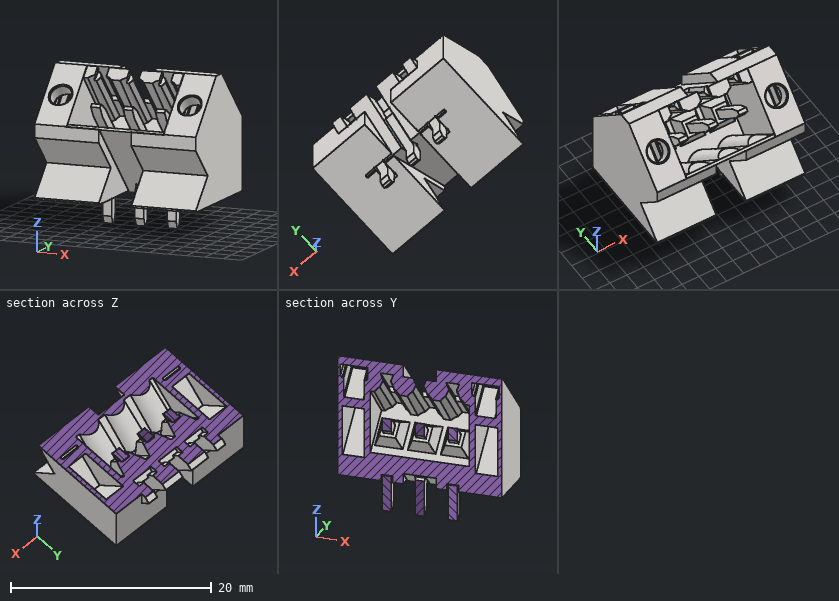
import cadquery as cq
import math

ROOT2 = math.sqrt(2)

LENGTH = 17.5
DEPTH = 12.11
TOP_Z = 12.98
RIDGE_FRONT_Y = 5.28
RIDGE_BACK_Y = 6.75
NOSE_BOTTOM_Z = 6.3
NOTCH_Y = 3.1
NOTCH_Z = NOSE_BOTTOM_Z - NOTCH_Y
FOOT_EDGE_Z = 0.2
FLANGE_LENGTH = 7.0
NOSE_TOP_Z = TOP_Z - RIDGE_FRONT_Y
BACK_TOP_Z = TOP_Z + RIDGE_BACK_Y - DEPTH

CORE_LENGTH = 10.5
FACE_U = NOSE_TOP_Z / ROOT2
CORE_BOTTOM_V = NOSE_TOP_Z / ROOT2
CORE_TOP_V = (TOP_Z + RIDGE_FRONT_Y) / ROOT2
CORE_DEPTH = 11.13
CORE_BACK_U = FACE_U - CORE_DEPTH
CORE_INSET = 0.09
CORE_FRONT_U = FACE_U - CORE_INSET
CORE_LEFT = (LENGTH - CORE_LENGTH) / 2
CORE_RIGHT = CORE_LEFT + CORE_LENGTH
FLANGE_TOP_V = (TOP_Z + RIDGE_BACK_Y) / ROOT2

CAVITY_FLOOR_U = -2.55
CAVITY_DEPTH = CORE_FRONT_U - CAVITY_FLOOR_U
CAVITY_BOTTOM_V = 5.78
CAVITY_TOP_V = 11.48
CAVITY_TOP_DRAFT = 0.14
POLE_PITCH = 3.5
POLES = [LENGTH / 2 + k * POLE_PITCH for k in (-1, 0, 1)]
BARREL_HALF_WIDTH = 1.26
RIDGE_DRAFT = 0.09
GROOVE_RADIUS = 1.75
RIDGE_RADIUS = 1.66
RIDGE_BEVEL_LENGTH = 1.15
BOSS_BASE = 2.98
BOSS_HEIGHT = 1.22
BOSS_TAPER = 26.6

MOUTH_SLOT_WIDTH = 1.26
RELIEF_U = 4.62
RELIEF_DIAMETER = 0.63
RELIEF_SPREAD = 0.55
SLOT_END_U = 0.26
SLOT_TOP_WIDTH = 1.33
SLOT_WAIST_WIDTH = 0.82
SLOT_WAIST_TOP_V = 12.48
SLOT_WAIST_BOTTOM_V = 12.37
SLOT_BOTTOM_WIDTH = 1.96

PIN_SIZE = 1.0
PIN_V = 9.03
PIN_TIP_U = 4.18
PIN_TIP_LENGTH = 1.17
PIN_TIP_SIZE = 0.42
PIN_BACK_U = -4.67
PIN_Y = 6.75
PIN_END_Z = -3.24
PIN_END_LENGTH = 0.82
PIN_END_SIZE = 0.32
BEND_RADIUS = 0.93

CHANNEL_WIDTH = 1.19
CHANNEL_FRONT_U = -4.16
CHANNEL_BOTTOM_V = 4.02
KEY_WIDTH = 2.45
KEY_BACK_U = -3.92
KEY_FRONT_U = -3.32
KEY_BOTTOM_V = 10.85

HOLE_INSET = 1.75
HOLE_V = 9.15
HOLE_DIAMETER = 2.28
HOLE_CHAMFER = 0.12
POCKET_FLOOR_V = 6.3
NUT_HALF_WIDTH = 1.44
NUT_CORNER_X = 0.2
NUT_CORNER_U = 0.14
NUT_FRONT_U = 3.87
NUT_BACK_U = 2.89
SCREW_HALF_WIDTH = 1.08
SCREW_BACK_U = 1.42
SCREW_CORNER_X = 0.1
SCREW_CORNER_U = 0.07
BACK_POCKET_OUTER_X = 0.5
BACK_POCKET_WIDTH = 2.3
BACK_POCKET_FRONT_U = 0.68
BACK_POCKET_BACK_U = (BACK_TOP_Z - DEPTH) / ROOT2


def face_plane(x, v, u):
    """Plane square to the plug axis: local axes x and v, normal u."""
    origin = (x, (v - u) / ROOT2, (v + u) / ROOT2)
    return cq.Plane(origin=origin, xDir=(1, 0, 0), normal=(0, -1, 1))


def box(x0, x1, v0, v1, u0, u1):
    """Block given by its limits in the tilted coordinates."""
    base = cq.Workplane(face_plane(x0, v0, u0))
    return base.rect(x1 - x0, v1 - v0, centered=False).extrude(u1 - u0)


def centred_box(x, width, v0, v1, u0, u1):
    return box(x - width / 2, x + width / 2, v0, v1, u0, u1)


def trapezoid_bar(x, v0, width0, v1, width1, u0, u1):
    """Bar along u whose width changes from width0 at v0 to width1 at v1."""
    corners = [(-width0 / 2, v0), (width0 / 2, v0), (width1 / 2, v1), (-width1 / 2, v1)]
    return cq.Workplane(face_plane(x, 0, u0)).polyline(corners).close().extrude(u1 - u0)


def side_prism(points, x0, x1):
    """Prism along X over an outline of (y, z) points."""
    return cq.Workplane("YZ", origin=(x0, 0, 0)).polyline(points).close().extrude(x1 - x0)


def yz(u, v):
    """The (y, z) position of a tilted (u, v) position."""
    return ((v - u) / ROOT2, (v + u) / ROOT2)


def flange(x0):
    outline = [
        (0, 0),
        (DEPTH, 0),
        (DEPTH, BACK_TOP_Z),
        (RIDGE_BACK_Y, TOP_Z),
        (RIDGE_FRONT_Y, TOP_Z),
        (0, NOSE_TOP_Z),
        (0, NOSE_BOTTOM_Z),
        (NOTCH_Y, NOTCH_Z),
        (0, FOOT_EDGE_Z),
    ]
    return side_prism(outline, x0, x0 + FLANGE_LENGTH)


def cavity():
    outline = [
        yz(CAVITY_FLOOR_U, CAVITY_BOTTOM_V),
        yz(CORE_FRONT_U, CAVITY_BOTTOM_V),
        yz(CORE_FRONT_U, CAVITY_TOP_V),
        yz(CAVITY_FLOOR_U, CAVITY_TOP_V - CAVITY_TOP_DRAFT),
    ]
    return side_prism(outline, CORE_LEFT, CORE_RIGHT)


def axis_depth(radius):
    """Distance from the axis of a groove or ridge to its chord at the cavity wall."""
    return math.sqrt(radius**2 - BARREL_HALF_WIDTH**2)


def lower_ridge(x):
    """Convex rib on the lower cavity wall, bevelled down to the wall at the mouth."""
    height = RIDGE_RADIUS - axis_depth(RIDGE_RADIUS)
    axis_v = CAVITY_BOTTOM_V - axis_depth(RIDGE_RADIUS)
    floor_end = cq.Workplane(face_plane(x, axis_v, CAVITY_FLOOR_U)).circle(RIDGE_RADIUS + RIDGE_DRAFT)
    full = floor_end.workplane(offset=CAVITY_DEPTH).circle(RIDGE_RADIUS).loft()
    bevel_drop = 2 * height
    bevel_run = bevel_drop * RIDGE_BEVEL_LENGTH / height
    limits = [
        yz(CAVITY_FLOOR_U, CAVITY_BOTTOM_V),
        yz(CORE_FRONT_U, CAVITY_BOTTOM_V),
        yz(CORE_FRONT_U - bevel_run, CAVITY_BOTTOM_V + bevel_drop),
        yz(CAVITY_FLOOR_U, CAVITY_BOTTOM_V + bevel_drop),
    ]
    return full.intersect(side_prism(limits, x - POLE_PITCH / 2, x + POLE_PITCH / 2))


def upper_groove(x):
    axis_v = CAVITY_TOP_V - axis_depth(GROOVE_RADIUS)
    return cq.Workplane(face_plane(x, axis_v, CAVITY_FLOOR_U)).circle(GROOVE_RADIUS).extrude(CAVITY_DEPTH)


def boss(x):
    base = cq.Workplane(face_plane(x, PIN_V, CAVITY_FLOOR_U)).rect(BOSS_BASE, BOSS_BASE)
    return base.extrude(BOSS_HEIGHT, taper=BOSS_TAPER)


def coding_slot(x):
    """Slot through the upper wall: wide mouth, two round reliefs, then an hourglass section.

    Below its waist the hourglass runs on to the cavity floor.
    """
    slot = centred_box(x, MOUTH_SLOT_WIDTH, CAVITY_TOP_V, CORE_TOP_V, RELIEF_U, FACE_U)
    upper = trapezoid_bar(
        x, SLOT_WAIST_TOP_V, SLOT_WAIST_WIDTH, CORE_TOP_V, SLOT_TOP_WIDTH, SLOT_END_U, RELIEF_U
    )
    waist = centred_box(
        x, SLOT_WAIST_WIDTH, SLOT_WAIST_BOTTOM_V, SLOT_WAIST_TOP_V, SLOT_END_U, RELIEF_U
    )
    lower = trapezoid_bar(
        x, CAVITY_TOP_V, SLOT_BOTTOM_WIDTH, SLOT_WAIST_BOTTOM_V, SLOT_WAIST_WIDTH, CAVITY_FLOOR_U, RELIEF_U
    )
    slot = slot.union(upper).union(waist).union(lower)
    for side in (-1, 1):
        plane = cq.Plane(
            origin=(x + side * RELIEF_SPREAD, *yz(RELIEF_U, CAVITY_TOP_V)), xDir=(1, 0, 0), normal=(0, 1, 1)
        )
        relief = cq.Workplane(plane).circle(RELIEF_DIAMETER / 2).extrude(CORE_TOP_V - CAVITY_TOP_V)
        slot = slot.union(relief)
    return slot


def pin_channel(x):
    """Room for a pin's legs in the back of the core, with a T-shaped key slot at the top."""
    leg_room = centred_box(x, CHANNEL_WIDTH, CHANNEL_BOTTOM_V, CORE_TOP_V, CORE_BACK_U, CHANNEL_FRONT_U)
    neck = centred_box(x, CHANNEL_WIDTH, KEY_BOTTOM_V, CORE_TOP_V, CHANNEL_FRONT_U, KEY_FRONT_U)
    key = centred_box(x, KEY_WIDTH, KEY_BOTTOM_V, CORE_TOP_V, KEY_BACK_U, KEY_FRONT_U)
    return leg_room.union(neck).union(key)


def pin_hole(x):
    half = PIN_SIZE / 2
    return centred_box(
        x, PIN_SIZE, PIN_V - half, PIN_V + half, CHANNEL_FRONT_U, CAVITY_FLOOR_U + BOSS_HEIGHT
    )


def screw_hole(x):
    depth = FACE_U - NUT_FRONT_U
    hole = cq.Workplane(face_plane(x, HOLE_V, NUT_FRONT_U)).circle(HOLE_DIAMETER / 2).extrude(depth)
    mouth = cq.Workplane(face_plane(x, HOLE_V, FACE_U - HOLE_CHAMFER)).circle(HOLE_DIAMETER / 2)
    mouth = mouth.workplane(offset=HOLE_CHAMFER).circle(HOLE_DIAMETER / 2 + HOLE_CHAMFER).loft()
    return hole.union(mouth)


def nut_pocket(x):
    """T-shaped pocket from the sloping back: a wide nut slot and a narrower room for the screw end."""
    plane = cq.Plane(origin=(x, *yz(0, FLANGE_TOP_V)), xDir=(1, 0, 0), normal=(0, -1, -1))
    right_side = [
        (NUT_HALF_WIDTH, NUT_FRONT_U),
        (NUT_HALF_WIDTH, NUT_BACK_U + NUT_CORNER_U),
        (NUT_HALF_WIDTH - NUT_CORNER_X, NUT_BACK_U),
        (SCREW_HALF_WIDTH, NUT_BACK_U),
        (SCREW_HALF_WIDTH, SCREW_BACK_U + SCREW_CORNER_U),
        (SCREW_HALF_WIDTH - SCREW_CORNER_X, SCREW_BACK_U),
    ]
    left_side = [(-px, pu) for px, pu in reversed(right_side)]
    return cq.Workplane(plane).polyline(right_side + left_side).close().extrude(FLANGE_TOP_V - POCKET_FLOOR_V)


def back_pocket(x0):
    return box(
        x0, x0 + BACK_POCKET_WIDTH, POCKET_FLOOR_V, FLANGE_TOP_V, BACK_POCKET_BACK_U, BACK_POCKET_FRONT_U
    )


def make_housing():
    body = box(CORE_LEFT, CORE_RIGHT, CORE_BOTTOM_V, CORE_TOP_V, CORE_BACK_U, CORE_FRONT_U)
    for x0 in (0, LENGTH - FLANGE_LENGTH):
        body = body.union(flange(x0))

    body = body.cut(box(CORE_LEFT, CORE_RIGHT, CORE_BOTTOM_V, CORE_TOP_V, CORE_FRONT_U, FACE_U))
    body = body.cut(cavity())
    for x in POLES:
        body = body.cut(upper_groove(x)).cut(coding_slot(x)).cut(pin_channel(x))
        body = body.union(lower_ridge(x)).union(boss(x)).cut(pin_hole(x))

    for x in (HOLE_INSET, LENGTH - HOLE_INSET):
        body = body.cut(screw_hole(x)).cut(nut_pocket(x))
    for x0 in (BACK_POCKET_OUTER_X, LENGTH - BACK_POCKET_OUTER_X - BACK_POCKET_WIDTH):
        body = body.cut(back_pocket(x0))
    return body.solids().val()


def make_pin(x):
    """Square pin: contact along u, leg down the back of the core, vertical soldering leg."""
    contact_end_u = PIN_TIP_U - PIN_TIP_LENGTH
    solder_end_z = PIN_END_Z + PIN_END_LENGTH
    half = PIN_SIZE / 2
    bend_v = PIN_BACK_U + PIN_Y * ROOT2
    bend_z = PIN_Y + PIN_BACK_U * ROOT2
    bend_setback = BEND_RADIUS * math.tan(math.radians(45 / 2))
    corner_v = PIN_V + half

    pin = centred_box(x, PIN_SIZE, PIN_V - half, corner_v, PIN_BACK_U - half, contact_end_u)

    leg_path = (
        cq.Workplane("YZ", origin=(x, 0, 0))
        .moveTo(PIN_Y, solder_end_z)
        .lineTo(PIN_Y, bend_z - bend_setback)
        .tangentArcPoint(yz(PIN_BACK_U, bend_v + bend_setback), relative=False)
        .lineTo(*yz(PIN_BACK_U, corner_v))
    )
    leg_section = cq.Workplane("XY", origin=(x, PIN_Y, solder_end_z)).rect(PIN_SIZE, PIN_SIZE)
    pin = pin.union(leg_section.sweep(leg_path))

    contact_tip = [
        yz(contact_end_u, PIN_V - half),
        yz(contact_end_u, PIN_V + half),
        yz(PIN_TIP_U, PIN_V + PIN_TIP_SIZE / 2),
        yz(PIN_TIP_U, PIN_V - PIN_TIP_SIZE / 2),
    ]
    solder_tip = [
        (PIN_Y - half, solder_end_z),
        (PIN_Y + half, solder_end_z),
        (PIN_Y + PIN_END_SIZE / 2, PIN_END_Z),
        (PIN_Y - PIN_END_SIZE / 2, PIN_END_Z),
    ]
    for tip in (contact_tip, solder_tip):
        pin = pin.union(side_prism(tip, x - half, x + half))
    return pin.solids().val()


housing = make_housing()
pins = [make_pin(x) for x in POLES]

result = cq.Compound.makeCompound([housing, *pins])